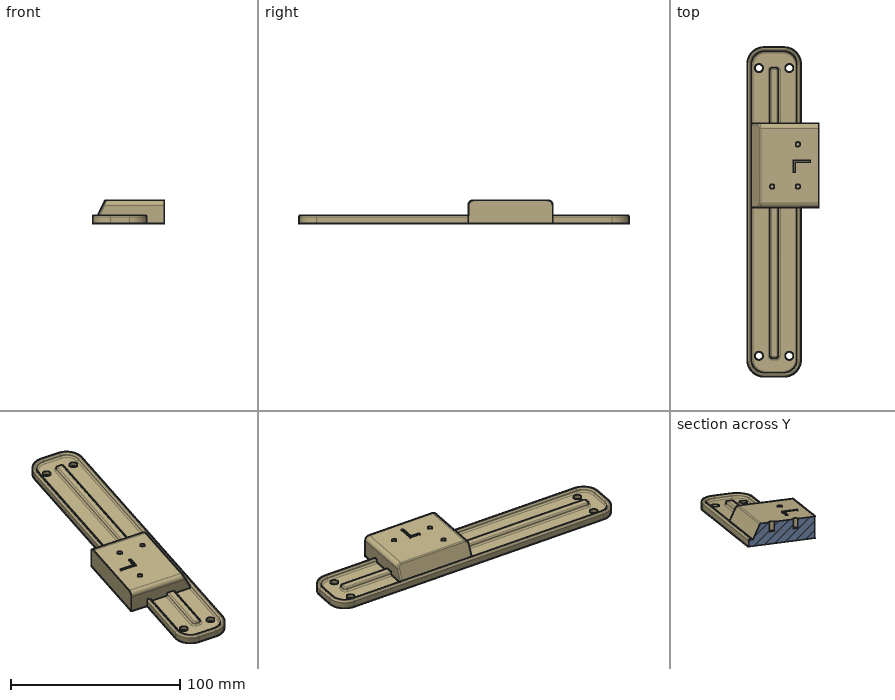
import cadquery as cq

PLATE_LENGTH = 194.8
PLATE_WIDTH = 32.0
PLATE_THICKNESS = 5.0
PLATE_CORNER_RADIUS = 10.3

RIM_WIDTH = 2.5
FLOOR_DEPTH = 2.1
EDGE_RADIUS = 1.0
FLOOR_HEIGHT = PLATE_THICKNESS - FLOOR_DEPTH

RIB_WIDTH = 5.0
RIB_LENGTH = 171.5
RIB_CORNER_RADIUS = 1.5
RIB_CENTRE_Y = -0.5

MOUNT_HOLE_DIAMETER = 4.7
MOUNT_HOLE_SPACING_X = 18.0
MOUNT_HOLE_SPACING_Y = 169.9

OVERALL_WIDTH = 42.5
BLOCK_HEIGHT = 13.8
BLOCK_LENGTH = 49.9
BLOCK_CENTRE_Y = 27.5
BLOCK_INSET = 3.1
SLOPE_RUN = 4.3
BLOCK_SIDE_RADIUS = 3.0
SLOPE_EDGE_RADIUS = 1.0

BLOCK_HOLE_DIAMETER = 2.7
BLOCK_HOLE_DEPTH = 5.8
BLOCK_HOLE_SPACING_X = 15.2
BLOCK_HOLE_SPACING_Y = 25.0
BLOCK_HOLE_EDGE_DISTANCE = 12.5

GROOVE_WIDTH = 1.2
GROOVE_DEPTH = 1.0
GROOVE_LENGTH_X = 10.0
GROOVE_LENGTH_Y = 6.8
GROOVE_CORNER_INSET = 15.2
GROOVE_CORNER_OFFSET_Y = 3.0

plate_left = -PLATE_WIDTH / 2
block_right = plate_left + OVERALL_WIDTH


def rounded_bar(width, length, corner_radius, bottom, top):
    """An upright bar with rounded vertical edges, centred on the Z axis."""
    bar = cq.Workplane("XY").workplane(offset=bottom).rect(width, length).extrude(top - bottom)
    return bar.edges("|Z").fillet(corner_radius)


def make_plate():
    plate = rounded_bar(PLATE_WIDTH, PLATE_LENGTH, PLATE_CORNER_RADIUS, 0, PLATE_THICKNESS)
    recess = rounded_bar(
        PLATE_WIDTH - 2 * RIM_WIDTH,
        PLATE_LENGTH - 2 * RIM_WIDTH,
        PLATE_CORNER_RADIUS - RIM_WIDTH,
        FLOOR_HEIGHT,
        PLATE_THICKNESS,
    )
    rib = rounded_bar(RIB_WIDTH, RIB_LENGTH, RIB_CORNER_RADIUS, FLOOR_HEIGHT, PLATE_THICKNESS)
    rib = rib.translate((0, RIB_CENTRE_Y, 0))
    plate = plate.cut(recess.cut(rib))
    plate = plate.faces(">Z").edges().fillet(EDGE_RADIUS)
    floor = plate.faces(cq.selectors.NearestToPointSelector((0, 0, FLOOR_HEIGHT)))
    plate = floor.edges().fillet(EDGE_RADIUS)
    mount_holes = (
        cq.Workplane("XY")
        .rarray(MOUNT_HOLE_SPACING_X, MOUNT_HOLE_SPACING_Y, 2, 2)
        .circle(MOUNT_HOLE_DIAMETER / 2)
        .extrude(PLATE_THICKNESS)
    )
    return plate.cut(mount_holes)


def make_block():
    slope = SLOPE_RUN / (BLOCK_HEIGHT - PLATE_THICKNESS)
    rim_x = plate_left + BLOCK_INSET
    outline = [
        (rim_x - slope * PLATE_THICKNESS, 0),
        (block_right, 0),
        (block_right, BLOCK_HEIGHT),
        (rim_x + SLOPE_RUN, BLOCK_HEIGHT),
    ]
    block = (
        cq.Workplane("XZ", origin=(0, BLOCK_CENTRE_Y, 0))
        .polyline(outline)
        .close()
        .extrude(BLOCK_LENGTH / 2, both=True)
    )
    block = block.faces(">Z").edges("|X").fillet(BLOCK_SIDE_RADIUS)
    block = block.faces("<X").edges("not <Z").fillet(SLOPE_EDGE_RADIUS)
    return block


def make_block_holes():
    near_x = block_right - BLOCK_HOLE_EDGE_DISTANCE
    far_x = near_x - BLOCK_HOLE_SPACING_X
    front_y = BLOCK_CENTRE_Y - BLOCK_HOLE_SPACING_Y / 2
    back_y = BLOCK_CENTRE_Y + BLOCK_HOLE_SPACING_Y / 2
    return (
        cq.Workplane("XY", origin=(0, 0, BLOCK_HEIGHT))
        .pushPoints([(near_x, back_y), (near_x, front_y), (far_x, front_y)])
        .circle(BLOCK_HOLE_DIAMETER / 2)
        .extrude(-BLOCK_HOLE_DEPTH)
    )


def make_groove():
    corner = (block_right - GROOVE_CORNER_INSET, BLOCK_CENTRE_Y + GROOVE_CORNER_OFFSET_Y, BLOCK_HEIGHT)
    return (
        cq.Workplane("XY", origin=corner)
        .hLine(GROOVE_LENGTH_X)
        .vLine(-GROOVE_WIDTH)
        .hLine(GROOVE_WIDTH - GROOVE_LENGTH_X)
        .vLine(GROOVE_WIDTH - GROOVE_LENGTH_Y)
        .hLine(-GROOVE_WIDTH)
        .close()
        .extrude(-GROOVE_DEPTH)
    )


result = make_plate().union(make_block()).cut(make_block_holes()).cut(make_groove())